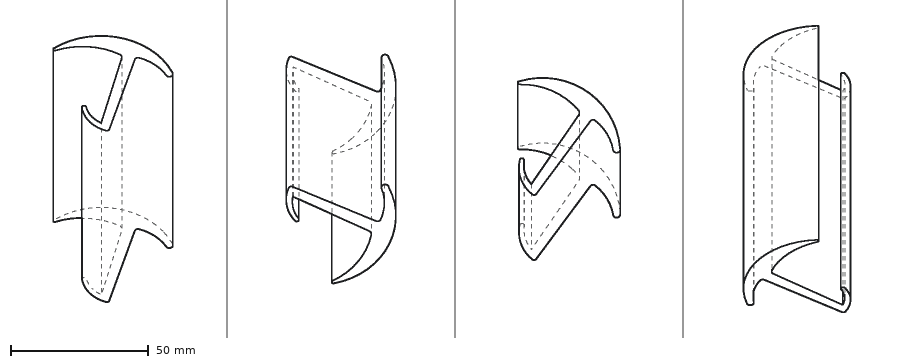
import cadquery as cq
import math

LENGTH = 100.0

UPPER = 1
LOWER = -1

CROWN_CENTRE = (0.0, -6.7)
CROWN_RADIUS = 28.2
LEFT_UNDERSIDE_CENTRE = (-5.5, -12.1)
LEFT_UNDERSIDE_RADIUS = 27.0
RIGHT_UNDERSIDE_CENTRE = (7.5, -3.7)
RIGHT_UNDERSIDE_RADIUS = 18.0

LEFT_TIP_OUTER_X = -22.3
LEFT_TIP_INNER_X = -21.5
RIGHT_TIP_OUTER_X = 21.9
RIGHT_TIP_INNER_X = 20.4

WEB_LEFT_TOP_X = 2.6
WEB_LEFT_BOTTOM_X = 3.2
WEB_RIGHT_TOP_X = 7.4
WEB_RIGHT_BOTTOM_X = 6.8
LEFT_WEB_FILLET = 1.6
RIGHT_WEB_FILLET = 1.2

HOOK_OUTER_CENTRE = (6.6, -8.4)
HOOK_OUTER_RADIUS = 13.0
HOOK_INNER_CENTRE = (5.8, -7.8)
HOOK_INNER_RADIUS = 10.9
HOOK_TIP_OUTER_X = -5.4
HOOK_TIP_INNER_X = -3.9
HOOK_HEEL_FILLET = 1.0


def point_on_circle(centre, radius, x, half):
    """Point at x on the upper or lower half of a circle."""
    return (x, centre[1] + half * math.sqrt(radius**2 - (x - centre[0]) ** 2))


def arc_middle(centre, start, end):
    """Point halfway along the shorter arc from start to end."""
    angle = math.atan2((start[1] + end[1]) / 2 - centre[1], (start[0] + end[0]) / 2 - centre[0])
    radius = math.dist(centre, start)
    return (centre[0] + radius * math.cos(angle), centre[1] + radius * math.sin(angle))


def tip_end(start, end):
    """Far point of the half circle that bulges to the left of the line from start to end."""
    half_x = (end[0] - start[0]) / 2
    half_y = (end[1] - start[1]) / 2
    return (start[0] + half_x - half_y, start[1] + half_y + half_x)


def round_corner(solid, corner, radius):
    """Round the lengthwise edge that passes through a corner of the outline."""
    middle = (corner[0], corner[1], LENGTH / 2)
    return solid.edges(cq.selectors.NearestToPointSelector(middle)).fillet(radius)


crown_top = (CROWN_CENTRE[0], CROWN_CENTRE[1] + CROWN_RADIUS)
crown_left = point_on_circle(CROWN_CENTRE, CROWN_RADIUS, LEFT_TIP_OUTER_X, UPPER)
crown_right = point_on_circle(CROWN_CENTRE, CROWN_RADIUS, RIGHT_TIP_OUTER_X, UPPER)

right_under = point_on_circle(RIGHT_UNDERSIDE_CENTRE, RIGHT_UNDERSIDE_RADIUS, RIGHT_TIP_INNER_X, UPPER)
right_root = point_on_circle(RIGHT_UNDERSIDE_CENTRE, RIGHT_UNDERSIDE_RADIUS, WEB_RIGHT_TOP_X, UPPER)
left_under = point_on_circle(LEFT_UNDERSIDE_CENTRE, LEFT_UNDERSIDE_RADIUS, LEFT_TIP_INNER_X, UPPER)
left_root = point_on_circle(LEFT_UNDERSIDE_CENTRE, LEFT_UNDERSIDE_RADIUS, WEB_LEFT_TOP_X, UPPER)

hook_heel = point_on_circle(HOOK_OUTER_CENTRE, HOOK_OUTER_RADIUS, WEB_RIGHT_BOTTOM_X, LOWER)
hook_outer_end = point_on_circle(HOOK_OUTER_CENTRE, HOOK_OUTER_RADIUS, HOOK_TIP_OUTER_X, LOWER)
hook_inner_end = point_on_circle(HOOK_INNER_CENTRE, HOOK_INNER_RADIUS, HOOK_TIP_INNER_X, LOWER)
hook_root = point_on_circle(HOOK_INNER_CENTRE, HOOK_INNER_RADIUS, WEB_LEFT_BOTTOM_X, LOWER)

profile = (
    cq.Workplane("XY")
    .moveTo(*crown_left)
    .threePointArc(crown_top, crown_right)
    .threePointArc(tip_end(crown_right, right_under), right_under)
    .threePointArc(arc_middle(RIGHT_UNDERSIDE_CENTRE, right_under, right_root), right_root)
    .lineTo(*hook_heel)
    .threePointArc(arc_middle(HOOK_OUTER_CENTRE, hook_heel, hook_outer_end), hook_outer_end)
    .threePointArc(tip_end(hook_outer_end, hook_inner_end), hook_inner_end)
    .threePointArc(arc_middle(HOOK_INNER_CENTRE, hook_inner_end, hook_root), hook_root)
    .lineTo(*left_root)
    .threePointArc(arc_middle(LEFT_UNDERSIDE_CENTRE, left_root, left_under), left_under)
    .threePointArc(tip_end(left_under, crown_left), crown_left)
    .close()
)
result = profile.extrude(LENGTH)

result = round_corner(result, left_root, LEFT_WEB_FILLET)
result = round_corner(result, right_root, RIGHT_WEB_FILLET)
result = round_corner(result, hook_heel, HOOK_HEEL_FILLET)